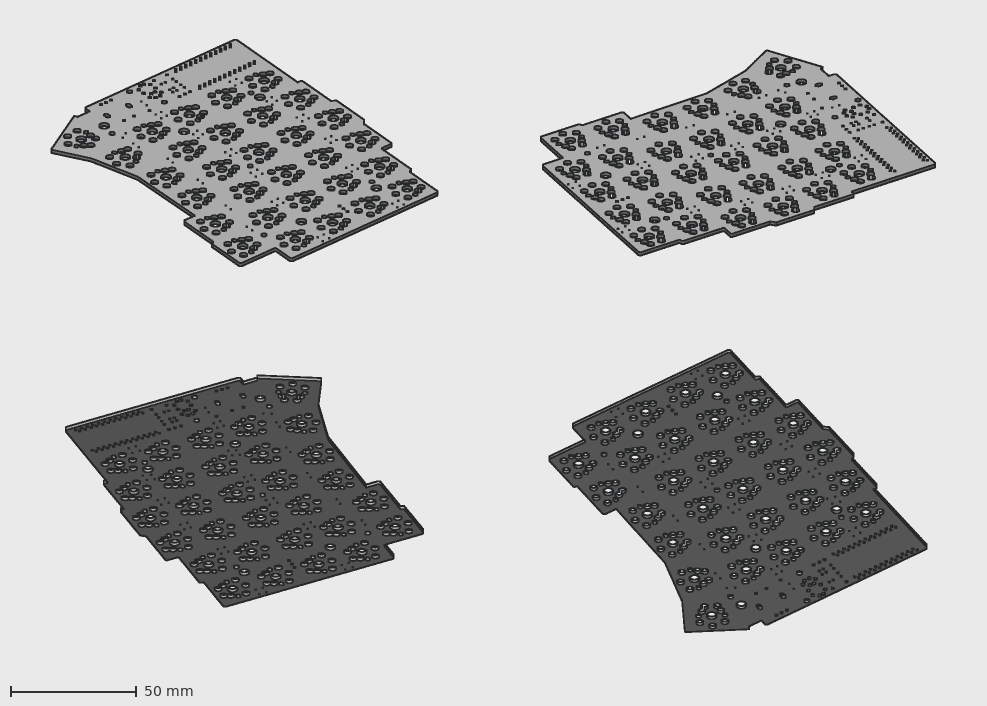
import cadquery as cq
import math


plate_length = 134.6
plate_width = 109.9
plate_thickness = 1.6
right_edge = plate_length / 2
left_edge = -right_edge
top_edge = plate_width / 2

corner_radius = 1.0
step_radius = 0.5

left_shoulder_y = 51.0
middle_shoulder_y = 53.0
right_shoulder_y = 47.5
far_right_shoulder_y = 45.9

thumb_angle = -60.0
thumb_corner = (-52.6, -55.2)
thumb_corner_radius = 0.7
thumb_side_length = 25.6
thumb_end_length = 17.2
notch_x = -64.1
notch_top_y = -26.3
thumb_side_direction = math.radians(180 + thumb_angle)
thumb_end_direction = math.radians(90 + thumb_angle)
thumb_side_top = (
    thumb_corner[0] + thumb_side_length * math.cos(thumb_side_direction),
    thumb_corner[1] + thumb_side_length * math.sin(thumb_side_direction),
)
thumb_end = (
    thumb_corner[0] + thumb_end_length * math.cos(thumb_end_direction),
    thumb_corner[1] + thumb_end_length * math.sin(thumb_end_direction),
)
notch_bottom_y = thumb_side_top[1] + (notch_x - thumb_side_top[0]) * math.tan(thumb_end_direction)

outline_corners = [
    (left_edge, left_shoulder_y, corner_radius),
    (-28.1, left_shoulder_y, 0),
    (-28.1, middle_shoulder_y, step_radius),
    (-9.5, middle_shoulder_y, 0),
    (-8.5, top_edge, step_radius),
    (9.3, top_edge, 0),
    (11.0, middle_shoulder_y, 0),
    (29.1, middle_shoulder_y, step_radius),
    (29.1, right_shoulder_y, step_radius),
    (48.3, right_shoulder_y, step_radius),
    (48.7, far_right_shoulder_y, step_radius),
    (right_edge, far_right_shoulder_y, corner_radius),
    (right_edge, -29.4, corner_radius),
    (57.4, -29.4, step_radius),
    (57.4, -47.3, corner_radius),
    (38.9, -47.3, step_radius),
    (38.6, -45.9, step_radius),
    (19.5, -45.9, corner_radius),
    (19.5, -40.0, 0),
    (-16.0, -40.4, 0),
    (*thumb_end, 0),
    (*thumb_corner, thumb_corner_radius),
    (*thumb_side_top, 0),
    (notch_x, notch_bottom_y, 0),
    (notch_x, notch_top_y, 0),
    (left_edge, notch_top_y, corner_radius),
]

center_hole_diameter = 4.0
pin_hole_diameter = 3.0
upper_pin = (2.5, 5.1)
inner_pin = (3.8, 2.5)
lower_pin = (5.0, -3.6)
bottom_pin_y = -5.8
side_slot_x = 5.3
side_slot_length = 2.2
side_slot_width = 1.8

column_count = 6
row_count = 4
first_column_x = -37.4
column_span = 95.2
key_pitch = column_span / (column_count - 1)
column_tops = [41.3, 44.3, 46.0, 44.7, 38.9, 37.5]

thumb_keys = [
    (-50.9, -41.2, thumb_angle),
    (-30.0, -35.5, 15.0),
    (-8.9, -31.8, 0),
    (10.1, -31.4, 0),
    (29.2, -37.3, 0),
    (48.3, -38.8, 0),
]

header_pin_count = 12
header_span = 27.9
header_pitch = header_span / (header_pin_count - 1)
header_hole_diameter = 0.8
header_row_distance = 15.2
header_rows = [(-65.7, 47.0), (-64.4, 45.9)]

via_diameter = 0.4
via_spacing = 3.4
level_via_pairs = [
    (-43.6, 33.5), (-43.6, 30.3), (-44.2, -4.3), (-44.2, -7.1),
    (-24.8, 36.4), (-23.8, 33.1), (-24.9, -1.5), (-24.0, -4.5),
    (-7.3, 38.4), (-7.3, 35.1), (-6.2, 0.7), (-6.2, -2.4),
    (11.6, 37.4), (11.6, 34.5), (11.6, -0.4), (11.6, -3.8),
    (32.7, 31.2), (32.7, 28.1), (32.7, -6.9), (32.7, -10.0),
    (63.8, 29.5), (63.8, 26.4), (63.8, -8.5), (63.8, -11.7),
    (-55.0, -5.8), (-33.8, -26.9), (-16.8, -23.2), (2.2, -23.2),
    (23.3, -26.0), (40.3, -28.8),
]
tilted_via_pair = (-42.3, -26.3)

mounting_holes = (4.0, [(-52.5, -28.1), (-29.4, 32.7), (-29.5, -5.9), (49.7, 28.4), (49.4, -9.7)])
locating_holes = (
    2.2,
    [(-64.9, -5.1), (-50.5, 1.0), (-46.3, -29.1), (-33.9, 31.9), (6.0, -0.8), (45.1, 29.8), (47.4, -27.2)],
)
jack_holes = (
    1.3,
    [
        (-63.7, 4.5), (-60.5, 4.5), (-56.7, 4.5),
        (-65.5, 2.5), (-58.5, 2.5), (-55.1, 2.5),
        (-65.5, 0.7), (-58.5, 0.7), (-55.2, 0.3),
        (-63.7, -1.5), (-60.6, -1.5), (-56.7, -1.5),
    ],
)
connector_holes = (
    1.0,
    [
        (-64.9, 13.9), (-64.9, 7.3),
        (-49.8, 13.5), (-49.8, 10.9), (-49.8, 8.2),
        (-64.9, -14.7), (-64.9, -17.2), (-64.9, -19.7),
        (-50.4, -14.7), (-50.4, -19.7), (-49.5, -7.4),
        (50.4, 9.0), (52.9, 9.0), (55.5, 9.0),
    ],
)
jumper_holes = (
    0.8,
    [
        (-61.1, 13.7), (-58.8, 13.7), (-56.0, 13.7), (-53.6, 13.7),
        (-61.1, 10.1), (-56.0, 10.1), (-53.9, 10.1),
        (-61.1, 8.1), (-56.0, 8.1), (-53.9, 8.1),
    ],
)

tab_slot_length = 3.0
tab_slot_width = 1.8
tab_slot_centers = [(-57.4, -11.6), (-57.4, -22.8)]


def rounded_outline(corners):
    """Closed outline through the corners, each replaced by a tangent arc of its radius."""
    first, last = corners[0], corners[-1]
    start_point = ((first[0] + last[0]) / 2, (first[1] + last[1]) / 2)
    outline = cq.Workplane("XY").moveTo(*start_point)
    following_corners = corners[1:] + corners[:1]
    preceding_corners = corners[-1:] + corners[:-1]
    for before, (x, y, radius), after in zip(preceding_corners, corners, following_corners):
        corner = cq.Vector(x, y)
        to_before = (cq.Vector(*before[:2]) - corner).normalized()
        to_after = (cq.Vector(*after[:2]) - corner).normalized()
        setback = radius / math.tan(to_before.getAngle(to_after) / 2)
        arc_start = corner + to_before * setback
        arc_end = corner + to_after * setback
        outline = outline.lineTo(arc_start.x, arc_start.y)
        if radius > 0:
            outline = outline.tangentArcPoint((arc_end.x, arc_end.y), relative=False)
    return outline.close()


def round_cutters(diameter, centers):
    """Cylinders through the plate at the given centres."""
    return cq.Workplane("XY").pushPoints(centers).circle(diameter / 2).extrude(plate_thickness)


def slot_cutters(length, width, centers):
    """Slots through the plate, lying along X."""
    return cq.Workplane("XY").pushPoints(centers).slot2D(length, width).extrude(plate_thickness)


def switch_cutter():
    """One switch footprint, centred on the origin: mirrored pins around the centre hole."""
    pins = [(0, bottom_pin_y)]
    slots = []
    for side in (-1, 1):
        pins += [(side * x, y) for x, y in (upper_pin, inner_pin, lower_pin)]
        slots.append((side * side_slot_x, 0))
    return (
        round_cutters(center_hole_diameter, [(0, 0)])
        .union(round_cutters(pin_hole_diameter, pins))
        .union(slot_cutters(side_slot_length, side_slot_width, slots))
    )


def key_positions():
    """Every switch as x, y and rotation: the grid, then the thumb row."""
    grid = [
        (first_column_x + column * key_pitch, top - row * key_pitch, 0)
        for column, top in enumerate(column_tops)
        for row in range(row_count)
    ]
    return grid + thumb_keys


def header_centers():
    """Pins of both staggered rows, repeated on the two sides of the controller."""
    return [
        (x + side * header_row_distance, top - pin * header_pitch)
        for x, top in header_rows
        for side in (0, 1)
        for pin in range(header_pin_count)
    ]


def via_pair(center, angle):
    """Two via centres, half a spacing either way from the given point."""
    reach_x = via_spacing / 2 * math.cos(math.radians(angle))
    reach_y = via_spacing / 2 * math.sin(math.radians(angle))
    return [
        (center[0] - reach_x, center[1] - reach_y),
        (center[0] + reach_x, center[1] + reach_y),
    ]


def via_centers():
    """All diode vias: the level pairs and the one turned with the thumb key."""
    centers = via_pair(tilted_via_pair, thumb_angle)
    for center in level_via_pairs:
        centers += via_pair(center, 0)
    return centers


plate = rounded_outline(outline_corners).extrude(plate_thickness)

footprint = switch_cutter().val()
cutters = [
    footprint.moved(cq.Location(cq.Vector(x, y, 0), cq.Vector(0, 0, 1), angle))
    for x, y, angle in key_positions()
]
cutters += round_cutters(header_hole_diameter, header_centers()).vals()
cutters += round_cutters(via_diameter, via_centers()).vals()
cutters += slot_cutters(tab_slot_length, tab_slot_width, tab_slot_centers).vals()
for diameter, centers in (mounting_holes, locating_holes, jack_holes, connector_holes, jumper_holes):
    cutters += round_cutters(diameter, centers).vals()

result = plate.cut(cq.Workplane(cq.Compound.makeCompound(cutters)))